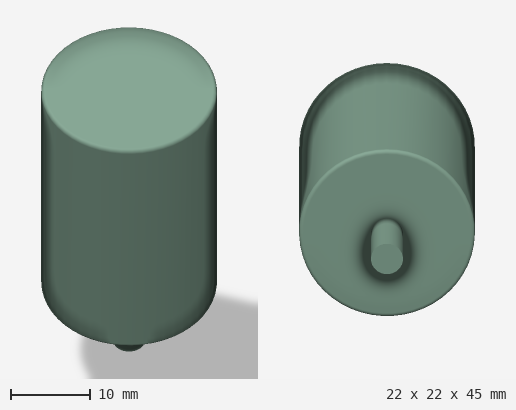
import cadquery as cq

total_height = 45.0
body_diameter = 22.0
pin_diameter = 4.0
pin_length = 10.0
edge_radius = 0.5

body_height = total_height - pin_length

body = (
    cq.Workplane("XY")
    .circle(body_diameter / 2)
    .extrude(body_height)
    .edges("%CIRCLE")
    .fillet(edge_radius)
)

pin = cq.Workplane("XY").circle(pin_diameter / 2).extrude(-pin_length)

result = body.union(pin)